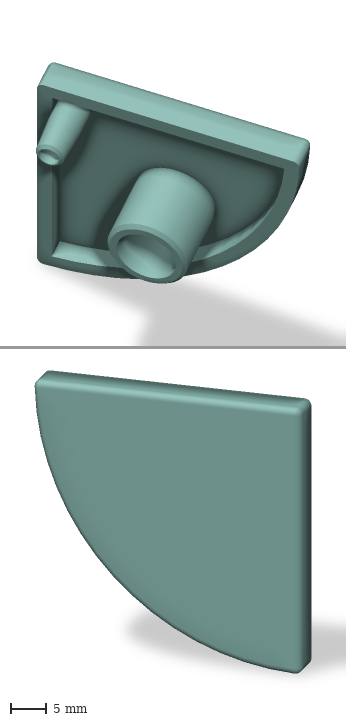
import cadquery as cq
import math

radius = 40
plate_thickness = 5.0
edge_round = 1.0
rim_width = 2.25
pocket_depth = 3.0

boss_center = radius / 2
boss_diameter = 12.2
boss_bore = 9.0
boss_reach = 8.6
boss_chamfer = 0.55

pin_center = 5.0
pin_diameter = 5.0
pin_neck_diameter = 4.3
pin_tip_diameter = 3.45
pin_bore = 3.0
pin_taper_start = 2.2
pin_neck_reach = 7.7
pin_reach = 8.2


def quarter_disc(inset):
    """Quarter-disc outline, every side moved inward by inset."""
    arc_radius = radius - inset
    far = math.sqrt(arc_radius**2 - inset**2)
    middle = arc_radius * math.sqrt(0.5)
    return (
        cq.Workplane("XZ")
        .moveTo(inset, -inset)
        .lineTo(far, -inset)
        .threePointArc((middle, -middle), (inset, -far))
        .close()
    )


def revolved_post(center, profile):
    """Post about a Y-parallel axis, from (radius, forward reach) profile points."""
    points = [(r, -reach) for r, reach in profile]
    return (
        cq.Workplane("XY")
        .polyline(points)
        .close()
        .revolve(360, (0, 0), (0, 1))
        .translate((center, 0, -center))
    )


plate = quarter_disc(0).extrude(-plate_thickness)
plate = plate.edges("|Y").fillet(edge_round)
plate = plate.faces(">Y").edges().fillet(edge_round)
plate = plate.cut(quarter_disc(rim_width).extrude(-pocket_depth))

boss = revolved_post(boss_center, [
    (boss_bore / 2, -pocket_depth),
    (boss_diameter / 2, -pocket_depth),
    (boss_diameter / 2, boss_reach - boss_chamfer),
    (boss_diameter / 2 - boss_chamfer, boss_reach),
    (boss_bore / 2, boss_reach),
])

pin = revolved_post(pin_center, [
    (pin_bore / 2, -pocket_depth),
    (pin_diameter / 2, -pocket_depth),
    (pin_diameter / 2, pin_taper_start),
    (pin_neck_diameter / 2, pin_neck_reach),
    (pin_tip_diameter / 2, pin_reach),
    (pin_bore / 2, pin_reach),
])

result = plate.union(boss).union(pin)